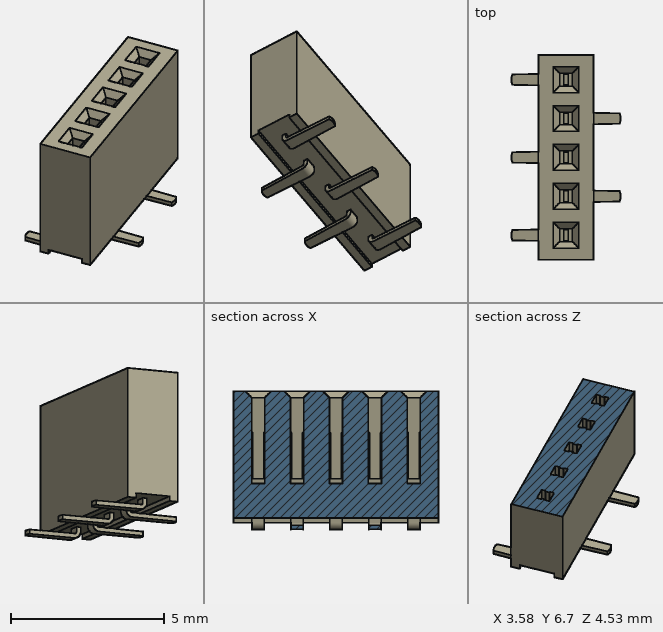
import cadquery as cq
import math

TOTAL_LENGTH = 6.7
TOTAL_HEIGHT = 4.53
LEAD_SPAN = 3.58

BODY_WIDTH = 1.8
BODY_BOTTOM = 0.22
GROOVE_WIDTH = 1.205
GROOVE_DEPTH = 0.155

CONTACT_COUNT = 5
PITCH = 1.27

MOUTH_SIZE = 0.845
HOLE_SIZE = 0.42
FUNNEL_DEPTH = (MOUTH_SIZE - HOLE_SIZE) / 2
SOCKET_DEPTH = 3.015

METAL_THICKNESS = 0.15
FORK_GAP = 0.35
FORK_BRIDGE_HEIGHT = 0.15
TINE_HEIGHT = 1.675

BEND_RADIUS = 0.07
LEAD_ROOT_WIDTH = 0.41
LEAD_TIP_WIDTH = 0.35
TIP_BULGE = 0.04

GROOVE_TOP = BODY_BOTTOM + GROOVE_DEPTH
SOCKET_FLOOR = TOTAL_HEIGHT - SOCKET_DEPTH
TIP_X = LEAD_SPAN / 2
BEND_CENTER_X = METAL_THICKNESS / 2 + BEND_RADIUS
BEND_CENTER_Z = METAL_THICKNESS + BEND_RADIUS


def make_body():
    """Rectangular block with a full-length groove along its underside."""
    block = cq.Workplane("XY").workplane(offset=BODY_BOTTOM).rect(BODY_WIDTH, TOTAL_LENGTH)
    block = block.extrude(TOTAL_HEIGHT - BODY_BOTTOM)
    groove = cq.Workplane("XY").workplane(offset=BODY_BOTTOM).rect(GROOVE_WIDTH, TOTAL_LENGTH)
    return block.cut(groove.extrude(GROOVE_DEPTH))


def make_socket():
    """Square hole with a funnel mouth, centred on Y = 0."""
    hole = cq.Workplane("XY").workplane(offset=SOCKET_FLOOR).rect(HOLE_SIZE, HOLE_SIZE)
    hole = hole.extrude(SOCKET_DEPTH)
    funnel = (
        cq.Workplane("XY")
        .workplane(offset=TOTAL_HEIGHT)
        .rect(MOUTH_SIZE, MOUTH_SIZE)
        .workplane(offset=-FUNNEL_DEPTH)
        .rect(HOLE_SIZE, HOLE_SIZE)
        .loft(ruled=True)
    )
    return hole.union(funnel)


def make_fork():
    """Flat fork standing on the socket floor; its tines have 45 degree lead-in tops."""
    wall_y = HOLE_SIZE / 2
    gap_y = FORK_GAP / 2
    bridge_z = SOCKET_FLOOR + FORK_BRIDGE_HEIGHT
    tine_outer_z = SOCKET_FLOOR + TINE_HEIGHT
    tine_inner_z = tine_outer_z - (wall_y - gap_y)
    return (
        cq.Workplane("YZ")
        .moveTo(-wall_y, SOCKET_FLOOR)
        .lineTo(-wall_y, tine_outer_z)
        .lineTo(-gap_y, tine_inner_z)
        .lineTo(-gap_y, bridge_z)
        .lineTo(gap_y, bridge_z)
        .lineTo(gap_y, tine_inner_z)
        .lineTo(wall_y, tine_outer_z)
        .lineTo(wall_y, SOCKET_FLOOR)
        .close()
        .extrude(METAL_THICKNESS / 2, both=True)
    )


def make_lead():
    """Bent lead pointing to +X, tapered in width, with a rounded end."""
    half_metal = METAL_THICKNESS / 2
    outer_radius = BEND_RADIUS + METAL_THICKNESS
    diagonal = math.sqrt(0.5)
    inner_mid = (BEND_CENTER_X - BEND_RADIUS * diagonal, BEND_CENTER_Z - BEND_RADIUS * diagonal)
    outer_mid = (BEND_CENTER_X - outer_radius * diagonal, BEND_CENTER_Z - outer_radius * diagonal)
    bent_strip = (
        cq.Workplane("XZ")
        .moveTo(-half_metal, GROOVE_TOP)
        .lineTo(-half_metal, BEND_CENTER_Z)
        .threePointArc(outer_mid, (BEND_CENTER_X, 0))
        .lineTo(TIP_X, 0)
        .lineTo(TIP_X, METAL_THICKNESS)
        .lineTo(BEND_CENTER_X, METAL_THICKNESS)
        .threePointArc(inner_mid, (half_metal, BEND_CENTER_Z))
        .lineTo(half_metal, GROOVE_TOP)
        .close()
        .extrude(LEAD_ROOT_WIDTH / 2, both=True)
    )
    root_y = LEAD_ROOT_WIDTH / 2
    tip_y = LEAD_TIP_WIDTH / 2
    footprint = (
        cq.Workplane("XY")
        .moveTo(-half_metal, -root_y)
        .lineTo(BEND_CENTER_X, -root_y)
        .lineTo(TIP_X - TIP_BULGE, -tip_y)
        .threePointArc((TIP_X, 0), (TIP_X - TIP_BULGE, tip_y))
        .lineTo(BEND_CENTER_X, root_y)
        .lineTo(-half_metal, root_y)
        .close()
        .extrude(GROOVE_TOP)
    )
    return bent_strip.intersect(footprint)


body = make_body()
socket = make_socket()
fork = make_fork()
right_lead = make_lead()
left_lead = right_lead.mirror("YZ")

result = body
for index in range(CONTACT_COUNT):
    contact_y = (index - (CONTACT_COUNT - 1) / 2) * PITCH
    lead = left_lead if index % 2 == 0 else right_lead
    result = result.cut(socket.translate((0, contact_y, 0)))
    result = result.union(fork.translate((0, contact_y, 0)))
    result = result.union(lead.translate((0, contact_y, 0)))